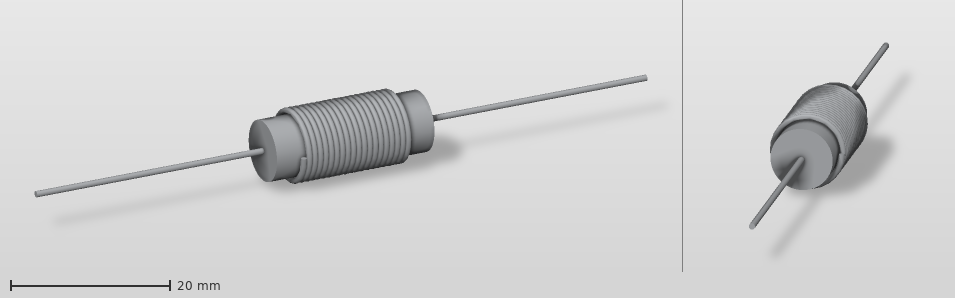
import cadquery as cq

overall_length = 85.7
core_length = 22.1
body_offset = 0.1
core_diameter = 8.0
lead_diameter = 0.8

coil_outer_diameter = 9.7
wire_diameter = 0.755
coil_pitch = 0.8
coil_turns = 19.5
coil_radius = (coil_outer_diameter - wire_diameter) / 2
coil_travel = coil_pitch * coil_turns
coil_start = body_offset + coil_travel / 2


def cylinder_along_y(diameter, length):
    """Cylinder centred on the origin with its axis along Y."""
    return cq.Workplane("XZ").circle(diameter / 2).extrude(length / 2, both=True)


def make_core():
    """Cylindrical core with a straight lead leaving each end."""
    body = cylinder_along_y(core_diameter, core_length).translate((0, body_offset, 0))
    leads = cylinder_along_y(lead_diameter, overall_length)
    return body.union(leads)


def make_coil():
    """Wire swept along a helix whose axial travel is centred on the core body."""
    start_plane = cq.Plane(origin=(0, coil_start, 0), xDir=(-1, 0, 0), normal=(0, -1, 0))
    helix = cq.Wire.makeHelix(coil_pitch, coil_travel, coil_radius)
    path = helix.moved(cq.Location(start_plane))
    wire_section = cq.Workplane("XY").center(-coil_radius, coil_start).circle(wire_diameter / 2)
    return wire_section.sweep(cq.Workplane(path), isFrenet=True)


core = make_core()
coil = make_coil()

result = cq.Compound.makeCompound([core.val(), coil.val()])